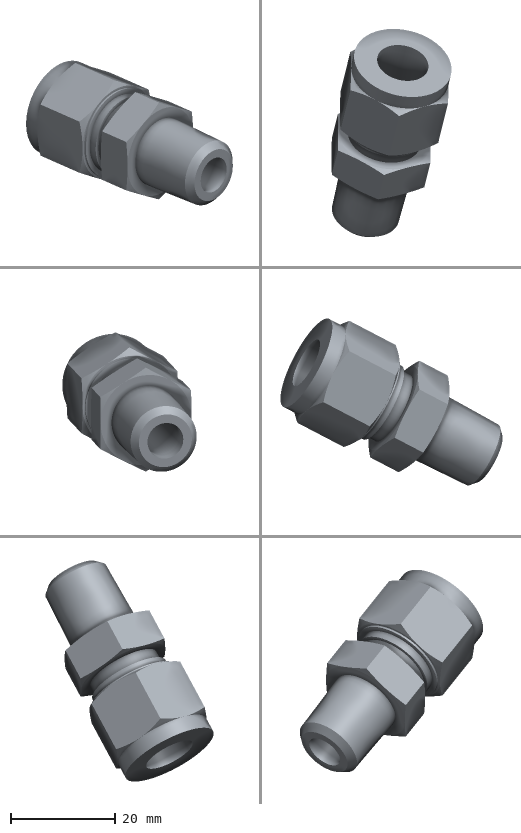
import cadquery as cq
import math


collar_end = 3.0
nut_hex_end = 15.1
nut_rim_end = 15.5
shoulder_end = 17.1
neck_end = 19.5
body_hex_end = 26.65
thread_start = 27.65
total_length = 40.9

nut_across_flats = 19.0
body_across_flats = 18.0
nut_chamfer_angle = 30.0
body_chamfer_angle = 15.0

collar_radius = nut_across_flats / 2
nut_rim_radius = 9.03
shoulder_radius = 7.95
neck_radius = 7.15
thread_radius = 6.86
thread_tip_radius = 6.55
tip_chamfer = 1.3

tube_socket_diameter = 10.0
tube_socket_depth = shoulder_end
through_bore_diameter = 7.1


def cylinder(start, end, radius):
    """Solid cylinder on the X axis between two stations."""
    return cq.Workplane("YZ", origin=(start, 0, 0)).circle(radius).extrude(end - start)


def chamfered_hexagon(start, end, across_flats, chamfer_angle):
    """Hexagonal prism with its corners coned off at both ends, down to the inscribed circle."""
    face_radius = across_flats / 2
    corner_radius = across_flats / math.sqrt(3)
    setback = (corner_radius - face_radius) * math.tan(math.radians(chamfer_angle))
    prism = (
        cq.Workplane("YZ", origin=(start, 0, 0))
        .polygon(6, 2 * corner_radius)
        .extrude(end - start)
        .rotate((0, 0, 0), (1, 0, 0), 90)
    )
    envelope = (
        cq.Workplane("XY")
        .moveTo(start, 0)
        .lineTo(start, face_radius)
        .lineTo(start + setback, corner_radius)
        .lineTo(end - setback, corner_radius)
        .lineTo(end, face_radius)
        .lineTo(end, 0)
        .close()
        .revolve(360, (0, 0, 0), (1, 0, 0))
    )
    return prism.intersect(envelope)


def threaded_end():
    """Short parallel run-out, tapered thread blank and chamfered tip."""
    taper_end = total_length - tip_chamfer
    return (
        cq.Workplane("XY")
        .moveTo(body_hex_end, 0)
        .lineTo(body_hex_end, thread_radius)
        .lineTo(thread_start, thread_radius)
        .lineTo(taper_end, thread_tip_radius)
        .lineTo(total_length, thread_tip_radius - tip_chamfer)
        .lineTo(total_length, 0)
        .close()
        .revolve(360, (0, 0, 0), (1, 0, 0))
    )


def nut():
    """Nut with a round collar, a hexagon and a thin rim behind it."""
    return (
        cylinder(0, collar_end, collar_radius)
        .union(chamfered_hexagon(collar_end, nut_hex_end, nut_across_flats, nut_chamfer_angle))
        .union(cylinder(nut_hex_end, nut_rim_end, nut_rim_radius))
    )


def body():
    """Shoulder, neck, wrench hexagon and threaded end."""
    return (
        cylinder(nut_rim_end, shoulder_end, shoulder_radius)
        .union(cylinder(shoulder_end, neck_end, neck_radius))
        .union(chamfered_hexagon(neck_end, body_hex_end, body_across_flats, body_chamfer_angle))
        .union(threaded_end())
    )


tube_socket = cylinder(0, tube_socket_depth, tube_socket_diameter / 2)
through_bore = cylinder(0, total_length, through_bore_diameter / 2)

result = nut().union(body()).cut(tube_socket).cut(through_bore)